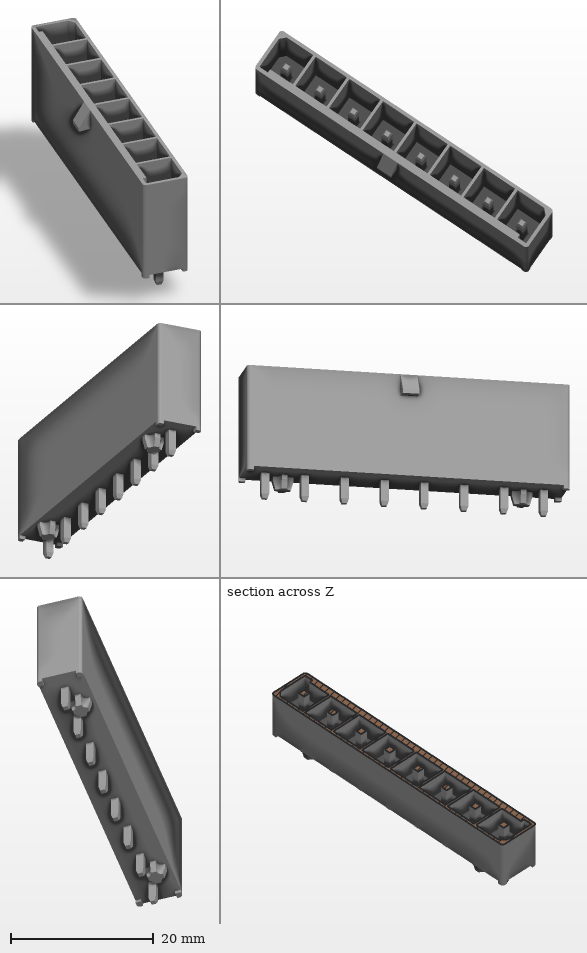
import cadquery as cq
import math


length = 46.25
depth = 6.7
top_z = 18.5
base_z = 3.7
corner_radius = 0.45
foot_length = 0.92
foot_depth = 0.85
foot_height = 0.5
front_y = -depth / 2
rear_y = depth / 2

cavity_count = 8
end_wall = 0.5
rear_wall = 0.5
front_wall = 1.1
partition = 0.4
floor_thickness = 3.7
cavity_inset = 0.05
end_chamfer = 0.8
notch_width = 1.45
notch_front_wall = 0.55
pitch = (length - 2 * end_wall + partition) / cavity_count
cavity_width = pitch - partition
floor_z = base_z + floor_thickness
cavity_height = top_z - floor_z
cavity_front_y = front_y + front_wall
cavity_rear_y = rear_y - rear_wall
cavity_end_x = length / 2 - end_wall
pin_positions = [(i - (cavity_count - 1) / 2) * pitch for i in range(cavity_count)]

pin_size = 1.1
pin_tip_size = 0.7
pin_taper = 0.65
pin_top_z = 14.8
recess_size = 1.53
recess_depth = (recess_size - pin_size) / 2

hook_width = 2.4
hook_reach = 1.65
hook_tip_z = 15.25
hook_root_z = 15.4
hook_nose_height = 0.55
hook_root_depth = 0.55

peg_y = 1.35
peg_reach = 1.5
peg_tip_reach = 1.1
peg_arm_half_width = 0.4
peg_taper_z = 3.05
peg_bottom_z = 1.8
peg_positions = [
    (pin_positions[0] + pin_positions[1]) / 2,
    (pin_positions[-2] + pin_positions[-1]) / 2,
]


def box(x_min, x_max, y_min, y_max, z_min, z_max):
    """Block between the given limits."""
    block = cq.Workplane("XY").box(x_max - x_min, y_max - y_min, z_max - z_min, centered=False)
    return block.translate((x_min, y_min, z_min))


def square_taper(bottom_size, top_size, bottom_z, height):
    """Square frustum centred on the Z axis."""
    return (
        cq.Workplane("XY")
        .workplane(offset=bottom_z)
        .rect(bottom_size, bottom_size)
        .workplane(offset=height)
        .rect(top_size, top_size)
        .loft(ruled=True)
    )


def make_housing():
    """Solid block with a short foot under each corner and rounded upright edges."""
    foot_z = base_z - foot_height
    block = box(-length / 2, length / 2, front_y, rear_y, foot_z, top_z).edges("|Z").fillet(corner_radius)
    inner_length = length - 2 * foot_length
    inner_depth = depth - 2 * foot_depth
    clear_lengthwise = box(-inner_length / 2, inner_length / 2, front_y, rear_y, foot_z, base_z)
    clear_depthwise = box(-length / 2, length / 2, -inner_depth / 2, inner_depth / 2, foot_z, base_z)
    return block.cut(clear_lengthwise).cut(clear_depthwise)


def make_cavity(outline):
    """Cavity that narrows slightly from the rim outline down to the floor."""
    draft = math.degrees(math.atan(cavity_inset / cavity_height))
    rim = cq.Workplane("XY").workplane(offset=top_z)
    return rim.polyline(outline).close().extrude(-cavity_height, taper=draft)


def make_middle_cavity():
    """Rectangular cavity centred on X = 0."""
    half_width = cavity_width / 2
    outline = [
        (-half_width, cavity_front_y),
        (half_width, cavity_front_y),
        (half_width, cavity_rear_y),
        (-half_width, cavity_rear_y),
    ]
    return make_cavity(outline)


def make_left_end_cavity():
    """Left end cavity with a chamfered rear corner and a notch in the front wall."""
    outer_x = -cavity_end_x
    inner_x = outer_x + cavity_width
    notch_x = outer_x + notch_width
    notch_y = front_y + notch_front_wall
    outline = [
        (outer_x, notch_y),
        (notch_x, notch_y),
        (notch_x, cavity_front_y),
        (inner_x, cavity_front_y),
        (inner_x, cavity_rear_y),
        (outer_x + end_chamfer, cavity_rear_y),
        (outer_x, cavity_rear_y - end_chamfer),
    ]
    return make_cavity(outline)


def make_pin():
    """Square pin tapered at both ends."""
    shank_height = pin_top_z - 2 * pin_taper
    shank = cq.Workplane("XY").workplane(offset=pin_taper).rect(pin_size, pin_size).extrude(shank_height)
    lower_tip = square_taper(pin_tip_size, pin_size, 0, pin_taper)
    upper_tip = square_taper(pin_size, pin_tip_size, pin_top_z - pin_taper, pin_taper)
    return shank.union(lower_tip).union(upper_tip)


def make_hook():
    """Ramp on the front face, with a blunt nose and a slightly undercut underside."""
    tip_y = front_y - hook_reach
    root_y = front_y + hook_root_depth
    profile = [
        (root_y, top_z),
        (front_y, top_z),
        (tip_y, hook_tip_z + hook_nose_height),
        (tip_y, hook_tip_z),
        (front_y, hook_root_z),
        (root_y, hook_root_z),
    ]
    return cq.Workplane("YZ").polyline(profile).close().extrude(hook_width / 2, both=True)


def make_peg():
    """Cross-shaped peg with rounded inner corners and arms that taper towards the bottom."""
    inner_radius = peg_tip_reach - peg_arm_half_width
    arm_length = 2 * peg_reach
    arm_width = 2 * peg_arm_half_width
    level = cq.Workplane("XY").workplane(offset=peg_bottom_z)
    height = base_z - peg_bottom_z
    cross = level.rect(arm_length, arm_width).extrude(height)
    cross = cross.union(level.rect(arm_width, arm_length).extrude(height))
    inner_corners = cq.selectors.BoxSelector(
        (-peg_tip_reach, -peg_tip_reach, peg_bottom_z), (peg_tip_reach, peg_tip_reach, base_z)
    )
    cross = cross.edges("|Z").edges(inner_corners).fillet(inner_radius)
    envelope = square_taper(2 * peg_tip_reach, 2 * peg_reach, peg_bottom_z, peg_taper_z - peg_bottom_z)
    envelope = envelope.union(box(-peg_reach, peg_reach, -peg_reach, peg_reach, peg_taper_z, base_z))
    return cross.intersect(envelope)


result = make_housing()

end_cavity = make_left_end_cavity()
result = result.cut(end_cavity).cut(end_cavity.mirror("YZ"))
middle_cavity = make_middle_cavity()
for cavity_x in pin_positions[1:-1]:
    result = result.cut(middle_cavity.translate((cavity_x, 0, 0)))

result = result.union(make_hook())

recess = square_taper(pin_size, recess_size, floor_z - recess_depth, recess_depth)
pin = make_pin()
for pin_x in pin_positions:
    result = result.cut(recess.translate((pin_x, 0, 0)))
    result = result.union(pin.translate((pin_x, 0, 0)))

peg = make_peg()
for peg_x in peg_positions:
    result = result.union(peg.translate((peg_x, peg_y, 0)))